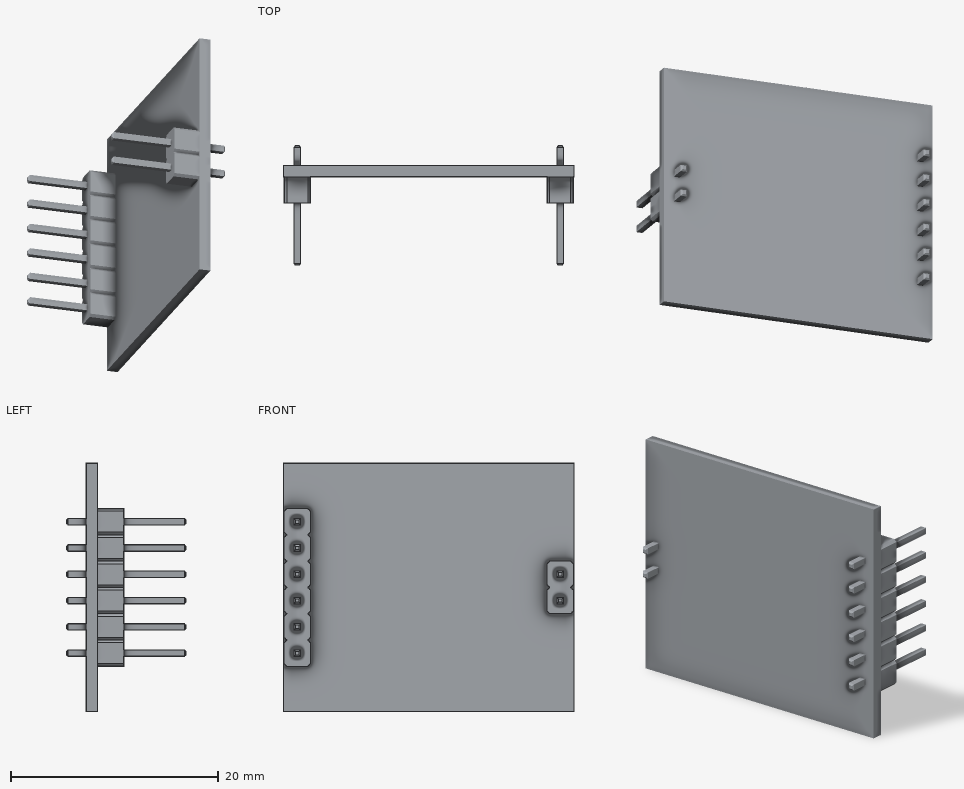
import cadquery as cq

BOARD_WIDTH = 28.1
BOARD_HEIGHT = 24.0
BOARD_THICKNESS = 1.1

PITCH = 2.54
CELL_CHAMFER = PITCH / 10
PIN_SIZE = 0.64
PIN_TIP_BEVEL = PIN_SIZE / 4
PIN_FRONT_LENGTH = 6.0
PIN_OVERALL_LENGTH = 11.54
ROW_SPACING = 10 * PITCH
LEFT_PIN_COUNT = 6
RIGHT_PIN_COUNT = 2

BOARD_FRONT_Y = 0.0
BOARD_BACK_Y = BOARD_FRONT_Y + BOARD_THICKNESS
BLOCK_FRONT_Y = BOARD_FRONT_Y - PITCH
PIN_FRONT_Y = BLOCK_FRONT_Y - PIN_FRONT_LENGTH
PIN_BACK_Y = PIN_FRONT_Y + PIN_OVERALL_LENGTH

HEADER_ROWS = [
    (-ROW_SPACING / 2, LEFT_PIN_COUNT),
    (ROW_SPACING / 2, RIGHT_PIN_COUNT),
]


def pin_heights(pin_count):
    """Z positions of the pins of one row."""
    return [(i - (pin_count - 1) / 2) * PITCH for i in range(pin_count)]


def square_bar(x, z, size, front_y, back_y):
    """Square bar along Y, centred on (x, z)."""
    length = back_y - front_y
    return cq.Workplane("XY").box(size, length, size).translate((x, (front_y + back_y) / 2, z))


def make_cell(x, z):
    """Plastic cell around one pin, with its four long edges chamfered."""
    cell = square_bar(x, z, PITCH, BLOCK_FRONT_Y, BOARD_FRONT_Y)
    return cell.edges("|Y").chamfer(CELL_CHAMFER)


def make_pin(x, z):
    """Square pin through the cell and the board, with both tips bevelled."""
    pin = square_bar(x, z, PIN_SIZE, PIN_FRONT_Y, PIN_BACK_Y)
    for end_face in ("<Y", ">Y"):
        pin = pin.faces(end_face).chamfer(PIN_TIP_BEVEL)
    return pin


def make_header(x, pin_count):
    """Header with its block and pins as one solid."""
    header = cq.Workplane("XY")
    for z in pin_heights(pin_count):
        header = header.union(make_cell(x, z)).union(make_pin(x, z))
    return header.clean().val().Solids()[0]


def make_board():
    """Board with a square hole for every pin."""
    board = cq.Workplane("XY").box(BOARD_WIDTH, BOARD_THICKNESS, BOARD_HEIGHT)
    board = board.translate((0, (BOARD_FRONT_Y + BOARD_BACK_Y) / 2, 0))
    for x, pin_count in HEADER_ROWS:
        for z in pin_heights(pin_count):
            board = board.cut(square_bar(x, z, PIN_SIZE, BOARD_FRONT_Y, BOARD_BACK_Y))
    return board.val().Solids()[0]


board = make_board()
headers = [make_header(x, pin_count) for x, pin_count in HEADER_ROWS]

result = cq.Compound.makeCompound([board, *headers])